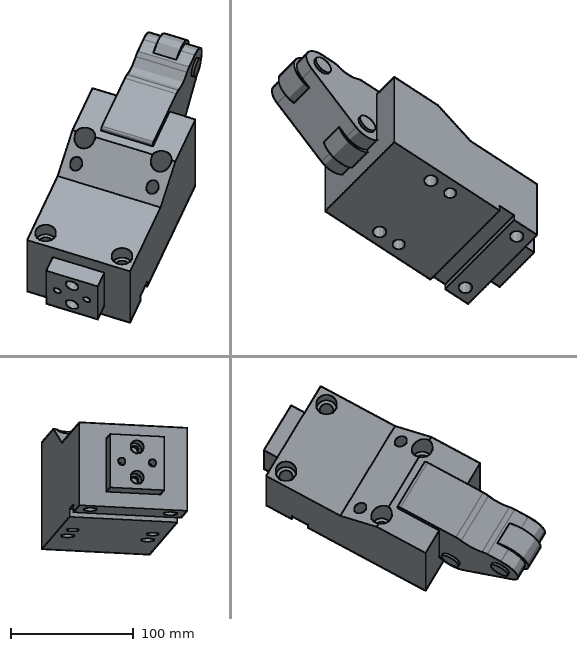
import cadquery as cq
import math


housing_width = 90.0
housing_length = 150.0
rear_height = 90.0
front_height = 70.0
rear_top_length = 46.0
slope_end_from_rear = 80.0
key_slot_from_front = 24.2
key_slot_width = 15.2
key_slot_depth = 6.5

hole_x = 33.5
front_bolt_row = 12.0
bolt_row_spacing = 90.0
bolt_rows = [front_bolt_row, front_bolt_row + bolt_row_spacing]
bolt_hole_diameter = 11.0
bolt_head_diameter = 17.0
front_bolt_head_depth = 13.0
bolt_seat_z = front_height - front_bolt_head_depth
dowel_row = 82.0
dowel_hole_diameter = 10.0

block_side = 45.0
block_thickness = 15.0
block_center_z = front_height / 2
block_hole_offset = 12.8
block_bolt_diameter = 6.8
block_bolt_head_diameter = 11.0
block_bolt_head_depth = 10.0
block_dowel_diameter = 6.0

lever_width = 45.0
lever_end_radius = 16.2
finger_thickness = 5.0
finger_reach = 39.5
lever_top = rear_height + finger_thickness
upper_pivot_from_rear = 57.8
upper_pivot_y = housing_length + upper_pivot_from_rear
upper_pivot_z = lever_top - lever_end_radius
lower_pivot_from_rear = 11.4
lower_pivot_y = housing_length + lower_pivot_from_rear
lower_pivot_z = 38.2
roller_radius = 19.0
roller_width = 20.0
pin_radius = 8.0
pin_length = 49.4
dip_from_rear = 30.2
dip_center_y = housing_length + dip_from_rear
dip_depth = 3.9
dip_radius = 20.0
dip_edge_radius = 10.0


def vertical_cylinders(x_values, y_values, diameter, bottom, top):
    """Cylinders along Z at every combination of the given X and Y places."""
    points = [(x, y) for x in x_values for y in y_values]
    plane = cq.Workplane("XY").workplane(offset=bottom)
    return plane.pushPoints(points).circle(diameter / 2).extrude(top - bottom)


def cross_cylinder(y, z, radius, length):
    """Cylinder along X, centred on the middle plane."""
    return cq.Workplane("YZ").center(y, z).circle(radius).extrude(length / 2, both=True)


def make_lever():
    """Lever with its finger, two rollers and two pivot pins in one solid."""
    run = upper_pivot_y - lower_pivot_y
    rise = upper_pivot_z - lower_pivot_z
    pivot_distance = math.hypot(run, rise)
    normal_y = rise / pivot_distance
    normal_z = -run / pivot_distance

    def on_end(pivot_y, pivot_z, direction_y, direction_z):
        return (pivot_y + lever_end_radius * direction_y, pivot_z + lever_end_radius * direction_z)

    upper_tangent = on_end(upper_pivot_y, upper_pivot_z, normal_y, normal_z)
    lower_tangent = on_end(lower_pivot_y, lower_pivot_z, normal_y, normal_z)
    upper_mid_angle = (math.atan2(normal_z, normal_y) + math.pi / 2) / 2
    upper_mid = on_end(upper_pivot_y, upper_pivot_z, math.cos(upper_mid_angle), math.sin(upper_mid_angle))
    lower_bottom = on_end(lower_pivot_y, lower_pivot_z, 0, -1)
    lower_inner = on_end(lower_pivot_y, lower_pivot_z, -1, 0)

    blend_angle = math.acos(1 - dip_depth / (dip_radius + dip_edge_radius))
    half_span = (dip_radius + dip_edge_radius) * math.sin(blend_angle)
    half_chord = dip_radius * math.sin(blend_angle)
    blend_z = lever_top - dip_edge_radius * (1 - math.cos(blend_angle))
    edge_mid_y = half_span - dip_edge_radius * math.sin(blend_angle / 2)
    edge_mid_z = lever_top - dip_edge_radius * (1 - math.cos(blend_angle / 2))

    tip_radius = finger_thickness / 2
    tip_start_y = housing_length - finger_reach + tip_radius

    lever = (
        cq.Workplane("YZ")
        .moveTo(tip_start_y, lever_top)
        .lineTo(dip_center_y - half_span, lever_top)
        .threePointArc((dip_center_y - edge_mid_y, edge_mid_z), (dip_center_y - half_chord, blend_z))
        .threePointArc((dip_center_y, lever_top - dip_depth), (dip_center_y + half_chord, blend_z))
        .threePointArc((dip_center_y + edge_mid_y, edge_mid_z), (dip_center_y + half_span, lever_top))
        .lineTo(upper_pivot_y, lever_top)
        .threePointArc(upper_mid, upper_tangent)
        .lineTo(*lower_tangent)
        .threePointArc(lower_bottom, lower_inner)
        .lineTo(lower_inner[0], rear_height)
        .lineTo(tip_start_y, rear_height)
        .threePointArc((tip_start_y - tip_radius, rear_height + tip_radius), (tip_start_y, lever_top))
        .close()
        .extrude(lever_width / 2, both=True)
    )
    for y, z in [(upper_pivot_y, upper_pivot_z), (lower_pivot_y, lower_pivot_z)]:
        lever = lever.union(cross_cylinder(y, z, roller_radius, roller_width))
        lever = lever.union(cross_cylinder(y, z, pin_radius, pin_length))
    return lever


def make_housing(lever):
    """Stepped housing with its mounting holes, key slot and the recess that takes the lever."""
    housing = (
        cq.Workplane("YZ")
        .polyline([
            (0, 0),
            (housing_length, 0),
            (housing_length, rear_height),
            (housing_length - rear_top_length, rear_height),
            (housing_length - slope_end_from_rear, front_height),
            (0, front_height),
        ])
        .close()
        .extrude(housing_width / 2, both=True)
    )
    key_slot = cq.Workplane("XY").box(
        housing_width, key_slot_width, key_slot_depth, centered=(True, False, False)
    )
    housing = housing.cut(key_slot.translate((0, key_slot_from_front, 0)))
    sides = [-hole_x, hole_x]
    housing = housing.cut(vertical_cylinders(sides, bolt_rows, bolt_hole_diameter, 0, rear_height))
    housing = housing.cut(vertical_cylinders(sides, bolt_rows, bolt_head_diameter, bolt_seat_z, rear_height))
    housing = housing.cut(vertical_cylinders(sides, [dowel_row], dowel_hole_diameter, 0, rear_height))
    return housing.cut(lever)


def make_end_block():
    """Square block on the front face with two counterbored holes and two dowel holes."""
    front_plane = cq.Workplane("XZ").center(0, block_center_z)
    block = front_plane.rect(block_side, block_side).extrude(block_thickness)
    for side in [-1, 1]:
        offset = side * block_hole_offset
        bolt_hole = front_plane.center(0, offset).circle(block_bolt_diameter / 2)
        block = block.cut(bolt_hole.extrude(block_thickness))
        head_bore = (
            cq.Workplane("XZ", origin=(0, block_bolt_head_depth - block_thickness, block_center_z + offset))
            .circle(block_bolt_head_diameter / 2)
            .extrude(block_bolt_head_depth)
        )
        block = block.cut(head_bore)
        dowel_hole = cq.Workplane("XZ").center(offset, block_center_z).circle(block_dowel_diameter / 2)
        block = block.cut(dowel_hole.extrude(block_thickness))
    return block


lever = make_lever()
housing = make_housing(lever)
end_block = make_end_block()

bodies = [housing, end_block, lever]
result = cq.Compound.makeCompound([body.solids().val() for body in bodies])